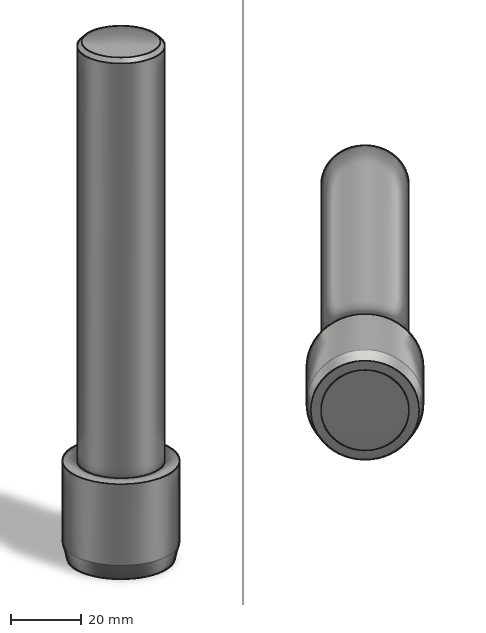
import cadquery as cq

TOTAL_LENGTH = 160.0
BOTTOM_Z = -TOTAL_LENGTH / 2

PIN_DIAMETER = 25.0
TIP_CHAMFER = 1.3

COLLAR_DIAMETER = 33.3
COLLAR_LENGTH = 30.0
COLLAR_TAPER_LENGTH = 5.0
COLLAR_TAPER_INSET = 1.3


def make_pin():
    """Full-length round pin with a chamfered upper tip."""
    return (
        cq.Workplane("XY", origin=(0, 0, BOTTOM_Z))
        .circle(PIN_DIAMETER / 2)
        .extrude(TOTAL_LENGTH)
        .faces(">Z")
        .chamfer(TIP_CHAMFER)
    )


def make_collar():
    """Ring flush with the lower end of the pin, its outside tapered towards the bottom."""
    blank = (
        cq.Workplane("XY", origin=(0, 0, BOTTOM_Z))
        .circle(COLLAR_DIAMETER / 2)
        .extrude(COLLAR_LENGTH)
        .faces("<Z")
        .chamfer(COLLAR_TAPER_LENGTH, COLLAR_TAPER_INSET)
    )
    return blank.faces(">Z").workplane().hole(PIN_DIAMETER)


pin = make_pin()
collar = make_collar()

result = cq.Compound.makeCompound([pin.val(), collar.val()])